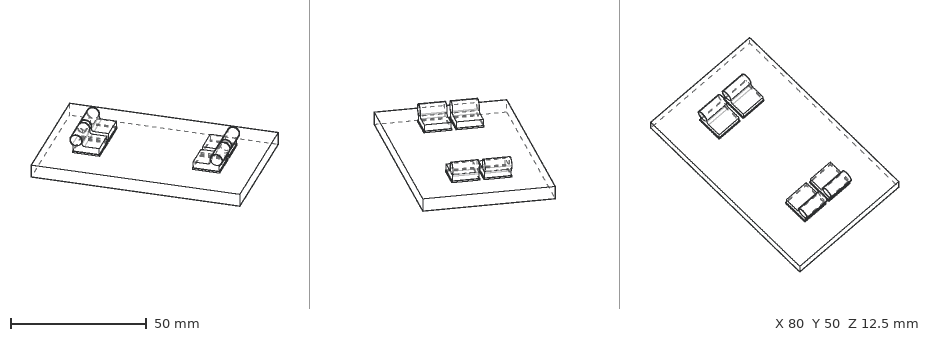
import cadquery as cq
import math

plate_length = 80.0
plate_width = 50.0
plate_height = 5.0

block_length = 10.0
block_width = 10.1
block_top = 3.0
block_outer_x = 28.0
block_gap = 2.1
foot_height = 0.6
foot_overhang = 0.2

tube_radius = 2.4
bore_radius = 2.2
tube_top = 7.48
neck_width = 3.4
tube_offset = 1.1
neck_fillet = 1.0

tube_z = tube_top - tube_radius
block_center_y = (block_gap + block_width) / 2


def make_clip():
    """Clip with its outer face on X = 0, extending toward +X, centred on Y = 0."""
    foot = (
        cq.Workplane("XY")
        .box(block_length + 2 * foot_overhang, block_width + 2 * foot_overhang, foot_height,
             centered=(False, True, False))
        .translate((-foot_overhang, 0, 0))
    )

    outer_angle = math.acos((tube_offset + neck_fillet) / (tube_radius + neck_fillet))
    outer_center_z = tube_z - (tube_radius + neck_fillet) * math.sin(outer_angle)

    def on_outer_fillet(angle):
        return (
            neck_fillet * (math.cos(angle) - 1),
            outer_center_z + neck_fillet * math.sin(angle),
        )

    def on_tube(angle):
        return (
            tube_offset + tube_radius * math.cos(angle),
            tube_z + tube_radius * math.sin(angle),
        )

    fillet_shift = neck_fillet * (1 - math.sqrt(0.5))
    neck_angle = -math.acos((neck_width - tube_offset) / tube_radius)
    contact_angle = math.pi + outer_angle
    body = (
        cq.Workplane("XZ", origin=(0, block_width / 2, 0))
        .lineTo(block_length, 0)
        .lineTo(block_length, block_top)
        .lineTo(neck_width + neck_fillet, block_top)
        .threePointArc(
            (neck_width + fillet_shift, block_top + fillet_shift),
            (neck_width, block_top + neck_fillet),
        )
        .lineTo(*on_tube(neck_angle))
        .threePointArc(on_tube(math.pi / 2), on_tube(math.pi))
        .threePointArc(on_tube((math.pi + contact_angle) / 2), on_tube(contact_angle))
        .threePointArc(on_outer_fillet(outer_angle / 2), (0, outer_center_z))
        .close()
        .extrude(block_width)
    )
    bore = (
        cq.Workplane("XZ", origin=(tube_offset, block_width / 2, tube_z))
        .circle(bore_radius)
        .extrude(block_width)
    )
    return foot.union(body).cut(bore)


plate = cq.Workplane("XY").box(plate_length, plate_width, plate_height, centered=(True, True, False))

left_clip = make_clip().translate((-block_outer_x, 0, plate_height))
right_clip = left_clip.mirror("YZ")

result = plate
for clip in (left_clip, right_clip):
    for side in (-1, 1):
        result = result.union(clip.translate((0, side * block_center_y, 0)))